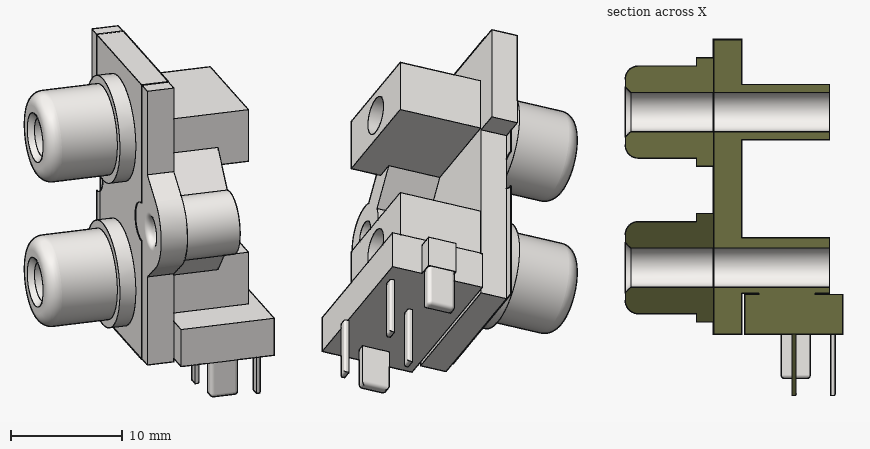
import cadquery as cq
import math


TOTAL_HEIGHT = 32.1
FRONT_REACH = 10.5

PLATE_HALF_WIDTH = 8.0
PLATE_HEIGHT = 26.5
PLATE_THICKNESS = 2.5
STEP_X = -5.6
STEP_Z = 17.27

JACK_HEIGHTS = (6.0, 20.0)
BORE_DIAMETER = 3.5
BORE_CHAMFER = 0.5
FLANGE_DIAMETER = 9.8
FLANGE_THICKNESS = 1.5
BARREL_DIAMETER = 8.3
BARREL_ROUNDING = 1.2

EAR_RADIUS = 3.98
EAR_Z = 13.48
SCREW_X = 9.0
SCREW_Z = 13.3
SCREW_HOLE_DIAMETER = 2.4
SCREW_MOUTH_DIAMETER = 3.5
EAR_APEX_RISE = 4.95
BOSS_RADIUS = 2.92
BOSS_DEPTH = 5.0
RIB_WIDTH = 2.5
RIB_LENGTH = 7.38
RIB_ANGLE = 49.0

BOX_WIDTH = 11.0
BOX_HEIGHT = 5.0
BOX_DEPTH = 7.9
BOX_HEIGHTS = (6.2, 20.0)

SHEET_THICKNESS = 0.07
SHIELD_HALF_WIDTH = 6.5
SHIELD_NOTCH_RADIUS = 1.83

BLOCK_LEFT = -SHIELD_HALF_WIDTH
BLOCK_RIGHT = 9.3
BLOCK_FRONT = 0.25
BLOCK_BACK = 9.1
BLOCK_HEIGHT = 3.6
NECK_INSET = 1.3
TAB_FRONT = 3.5
TAB_BACK = 6.2
TAB_HEIGHT = 3.0
PEG_INSET = 0.03
PEG_WIDTH = 1.03
PEG_LENGTH = 3.98
PEG_EDGE_ROUNDING = 0.35
PEG_TIP_ROUNDING = 0.32

PIN_PITCH = 3.98
PIN_WIDTH = 1.0
PIN_THICKNESS = 0.42
PIN_ROUNDING = 0.2
PIN_BACKS = (8.4, 4.9, 9.4)

SHIELD_FRONT = -PLATE_THICKNESS - SHEET_THICKNESS
SHIELD_TOP = PLATE_HEIGHT + SHEET_THICKNESS
JACK_LENGTH = FRONT_REACH + SHIELD_FRONT
PIN_LENGTH = TOTAL_HEIGHT - SHIELD_TOP


def block(x_range, y_range, z_range):
    """Box between the given limits."""
    lows, highs = zip(x_range, y_range, z_range)
    sizes = [high - low for low, high in zip(lows, highs)]
    return cq.Workplane("XY").box(*sizes, centered=False).translate(lows)


def facing_front(y):
    """Plane at depth y whose normal is -Y, with X and Z as its axes."""
    return cq.Workplane("XZ", origin=(0, y, 0))


def bores(y_back, length):
    """Both jack bores, from y_back forward."""
    centres = [(0, z) for z in JACK_HEIGHTS]
    return facing_front(y_back).pushPoints(centres).circle(BORE_DIAMETER / 2).extrude(length)


def make_plate():
    """Front plate with the step on the left and the ear on the right."""
    tangent_rise = EAR_RADIUS ** 2 / EAR_APEX_RISE
    tangent_reach = math.sqrt(EAR_RADIUS ** 2 - tangent_rise ** 2)
    tangent_x = PLATE_HALF_WIDTH + tangent_reach
    return (
        facing_front(0)
        .moveTo(STEP_X, 0)
        .lineTo(PLATE_HALF_WIDTH, 0)
        .lineTo(PLATE_HALF_WIDTH, EAR_Z - EAR_APEX_RISE)
        .lineTo(tangent_x, EAR_Z - tangent_rise)
        .threePointArc((PLATE_HALF_WIDTH + EAR_RADIUS, EAR_Z), (tangent_x, EAR_Z + tangent_rise))
        .lineTo(PLATE_HALF_WIDTH, EAR_Z + EAR_APEX_RISE)
        .lineTo(PLATE_HALF_WIDTH, PLATE_HEIGHT)
        .lineTo(-PLATE_HALF_WIDTH, PLATE_HEIGHT)
        .lineTo(-PLATE_HALF_WIDTH, STEP_Z)
        .lineTo(STEP_X, STEP_Z)
        .close()
        .extrude(PLATE_THICKNESS)
    )


def make_boxes():
    """Rear boxes behind the jacks."""
    centres = [(0, z) for z in BOX_HEIGHTS]
    return facing_front(BOX_DEPTH).pushPoints(centres).rect(BOX_WIDTH, BOX_HEIGHT).extrude(BOX_DEPTH)


def make_boss():
    """Screw boss with one rib running to each rear box."""
    boss = facing_front(BOSS_DEPTH).center(SCREW_X, SCREW_Z).circle(BOSS_RADIUS).extrude(BOSS_DEPTH)
    for angle in (180 - RIB_ANGLE, 180 + RIB_ANGLE):
        rib = (
            facing_front(BOSS_DEPTH)
            .center(SCREW_X, SCREW_Z)
            .transformed(rotate=(0, 0, angle))
            .center(RIB_LENGTH / 2, 0)
            .rect(RIB_LENGTH, RIB_WIDTH)
            .extrude(BOSS_DEPTH)
        )
        boss = boss.union(rib)
    return boss


def make_screw_hole():
    """Screw hole whose front mouth flares out in a quarter round."""
    hole_radius = SCREW_HOLE_DIAMETER / 2
    mouth_radius = SCREW_MOUTH_DIAMETER / 2
    rounding = mouth_radius - hole_radius
    length = PLATE_THICKNESS + BOSS_DEPTH
    arc_offset = rounding * (1 - math.sqrt(0.5))
    profile = (
        cq.Workplane("XY")
        .lineTo(mouth_radius, 0)
        .threePointArc((hole_radius + arc_offset, arc_offset), (hole_radius, rounding))
        .lineTo(hole_radius, length)
        .lineTo(0, length)
        .close()
    )
    hole = profile.revolve(360, (0, 0, 0), (0, 1, 0))
    return hole.translate((SCREW_X, -PLATE_THICKNESS, SCREW_Z))


def make_peg(left, outer_side):
    """Mounting peg below the block, with a rounded tip and rounded edges on its outer side."""
    y_range = (TAB_FRONT + PEG_INSET, TAB_BACK - PEG_INSET)
    peg = block((left, left + PEG_WIDTH), y_range, (-PEG_LENGTH, 0))
    peg = peg.faces(outer_side).edges("|Z").fillet(PEG_EDGE_ROUNDING)
    return peg.faces("<Z").edges().fillet(PEG_TIP_ROUNDING)


def make_terminal_block():
    """Block under the lower box, with its side tab, its pegs and the neck up to the box."""
    body = block((BLOCK_LEFT, BLOCK_RIGHT), (BLOCK_FRONT, BLOCK_BACK), (0, BLOCK_HEIGHT))
    tab = block((-PLATE_HALF_WIDTH, BLOCK_LEFT), (TAB_FRONT, TAB_BACK), (0, TAB_HEIGHT))
    neck_half_width = BOX_WIDTH / 2 - NECK_INSET
    neck = block(
        (-neck_half_width, neck_half_width),
        (BLOCK_FRONT + NECK_INSET, BOX_DEPTH - NECK_INSET),
        (BLOCK_HEIGHT, BOX_HEIGHTS[0] - BOX_HEIGHT / 2),
    )
    body = body.union(tab).union(neck)
    peg_reach = PLATE_HALF_WIDTH - PEG_INSET
    left_peg = make_peg(-peg_reach, "<X")
    right_peg = make_peg(peg_reach - PEG_WIDTH, ">X")
    return body.union(left_peg).union(right_peg)


def make_housing():
    """Moulded housing: plate, boxes, boss and terminal block in one piece."""
    housing = make_plate().union(make_boxes()).union(make_boss()).union(make_terminal_block())
    housing = housing.cut(bores(BOX_DEPTH, BOX_DEPTH + PLATE_THICKNESS))
    return housing.cut(make_screw_hole())


def make_shield():
    """Thin sheet over the front of the plate, bent back over its top edge."""
    sides = (-SHIELD_HALF_WIDTH, SHIELD_HALF_WIDTH)
    front = block(sides, (SHIELD_FRONT, -PLATE_THICKNESS), (0, SHIELD_TOP))
    top = block(sides, (-PLATE_THICKNESS, 0), (PLATE_HEIGHT, SHIELD_TOP))
    notches = (
        facing_front(-PLATE_THICKNESS)
        .pushPoints([(x, SCREW_Z) for x in sides])
        .circle(SHIELD_NOTCH_RADIUS)
        .extrude(SHEET_THICKNESS)
    )
    return front.union(top).cut(notches).cut(bores(-PLATE_THICKNESS, SHEET_THICKNESS))


def make_jack(z):
    """Jack sleeve: flange on the shield, rounded barrel and chamfered bore."""
    base = facing_front(SHIELD_FRONT).center(0, z)
    flange = base.circle(FLANGE_DIAMETER / 2).extrude(FLANGE_THICKNESS)
    barrel = base.circle(BARREL_DIAMETER / 2).extrude(JACK_LENGTH)
    barrel = barrel.faces("<Y").edges().fillet(BARREL_ROUNDING)
    bore = base.circle(BORE_DIAMETER / 2).extrude(JACK_LENGTH)
    sleeve = flange.union(barrel).cut(bore)
    bore_mouth = sleeve.faces("<Y").edges(cq.selectors.RadiusNthSelector(0))
    return bore_mouth.chamfer(BORE_CHAMFER)


def make_pin(x, y_back):
    """Flat pin hanging from the block, rounded along its rear edges and tip."""
    pin = block(
        (x - PIN_WIDTH / 2, x + PIN_WIDTH / 2),
        (y_back - PIN_THICKNESS, y_back),
        (-PIN_LENGTH, 0),
    )
    return pin.faces(">Y").edges("|Z or <Z").fillet(PIN_ROUNDING)


housing = make_housing()
shield = make_shield()
jacks = [make_jack(z) for z in JACK_HEIGHTS]
pins = [make_pin((i - 1) * PIN_PITCH, y_back) for i, y_back in enumerate(PIN_BACKS)]

result = cq.Compound.makeCompound(
    [housing.val(), shield.val(), *[jack.val() for jack in jacks], *[pin.val() for pin in pins]]
)